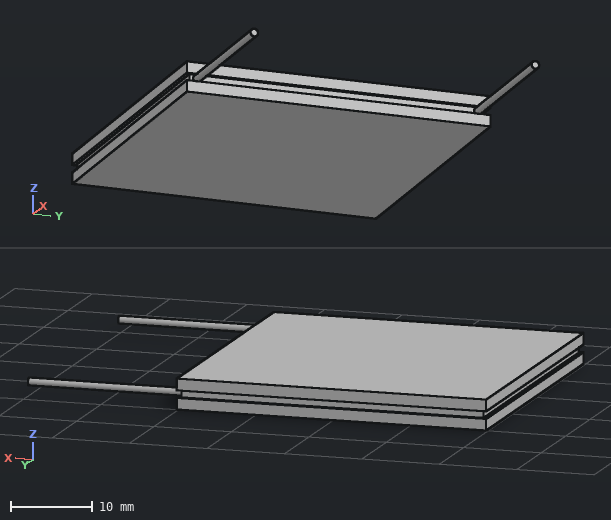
import cadquery as cq

total_length = 59.5
plate_side = 40.0
total_height = 3.9

plate_thickness = 1.5
core_inset = 0.5
core_height = total_height - 2 * plate_thickness
core_side = plate_side - 2 * core_inset

wire_diameter = 1.0
wire_edge_distance = 1.5
wire_y = plate_side / 2 - wire_edge_distance
wire_start_x = plate_side / 2 - core_inset
wire_embed = 0.6
wire_end_x = total_length - plate_side / 2


def make_plate(bottom_z):
    """Square ceramic plate resting at the given height."""
    plate = cq.Workplane("XY").workplane(offset=bottom_z)
    return plate.rect(plate_side, plate_side).extrude(plate_thickness)


def make_wire(y):
    """Round lead running along +X, at mid-height of the core."""
    start_x = wire_start_x - wire_embed
    wire = cq.Workplane("YZ", origin=(start_x, y, 0))
    return wire.circle(wire_diameter / 2).extrude(wire_end_x - start_x)


core = cq.Workplane("XY").box(core_side, core_side, core_height)
result = core.union(make_plate(core_height / 2)).union(make_plate(-total_height / 2))

for wire_side in (-1, 1):
    result = result.union(make_wire(wire_side * wire_y))